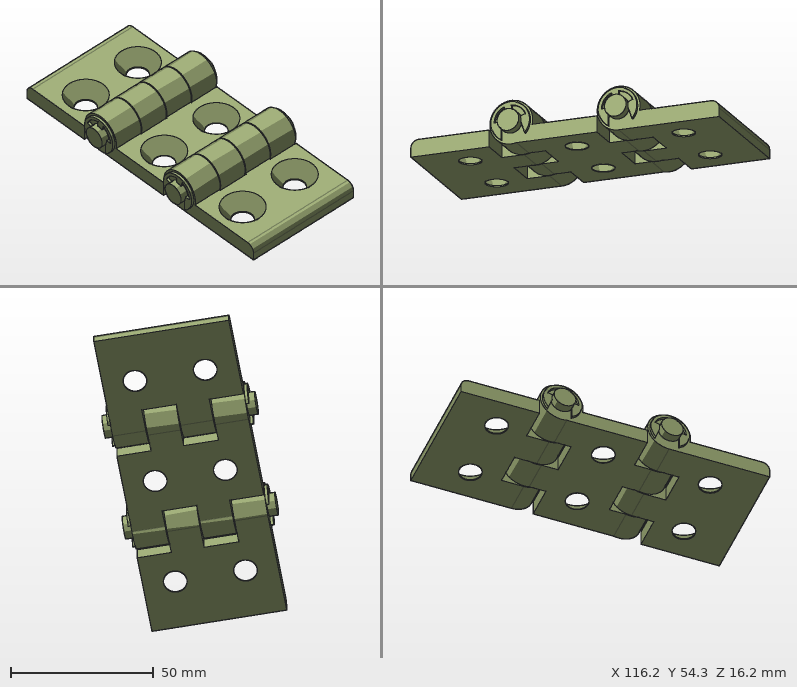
import cadquery as cq
import math


overall_length = 116.2
leaf_width = 48.0
leaf_thickness = 6.3
middle_leaf_lift = 0.2
end_round_radius = 3.0

hinge_spacing = 40.5
knuckle_diameter = 16.2
knuckle_count = 4
odd_knuckles = (1, 3)
even_knuckles = (0, 2)
knuckle_gap = 0.3
outer_notch_clearance = 0.29
middle_notch_clearance = 0.1

screw_hole_diameter = 8.3
countersink_diameter = 16.5
countersink_angle = 71.0
screw_hole_spacing = 25.0
screw_hole_offset = 40.2

pin_diameter = 8.1
pin_length = 54.3

clip_thickness = 1.0
clip_diameter = 14.5
clip_tilt = 9.5
window_radius = 6.0
window_half_angle = 79.0
bar_outer_width = 2.8
bar_inner_width = 2.3
mouth_inner_angle = 111.0
mouth_outer_angle = 141.5

pin_radius = pin_diameter / 2
knuckle_radius = knuckle_diameter / 2
clip_radius = clip_diameter / 2
hinge_x = hinge_spacing / 2
pin_z = knuckle_radius
knuckle_pitch = leaf_width / knuckle_count
outer_notch_reach = knuckle_radius + outer_notch_clearance
middle_notch_reach = knuckle_radius + middle_notch_clearance


def cylinder_along_y(radius, x, y_start, y_end):
    """Cylinder on the hinge axis at x, between two places along Y."""
    return cq.Workplane("XZ", origin=(x, y_end, pin_z)).circle(radius).extrude(y_end - y_start)


def plate(x_start, x_end, z_bottom):
    """Flat part of a leaf; every leaf has its top face at the same height."""
    return cq.Workplane("XY").box(
        x_end - x_start, leaf_width, leaf_thickness - z_bottom, centered=False
    ).translate((x_start, -leaf_width / 2, z_bottom))


def make_knuckle(x, index):
    """Knuckle counted from the -Y end; half a gap is left towards each neighbour."""
    y_start = -leaf_width / 2 + index * knuckle_pitch
    y_end = y_start + knuckle_pitch
    if index > 0:
        y_start += knuckle_gap / 2
    if index < knuckle_count - 1:
        y_end -= knuckle_gap / 2
    return cylinder_along_y(knuckle_radius, x, y_start, y_end)


def make_notch(x, index, reach):
    """Block that clears room in a leaf for a neighbour's knuckle and the gaps beside it."""
    y_middle = -leaf_width / 2 + (index + 0.5) * knuckle_pitch
    block = cq.Workplane("XY").box(2 * reach, knuckle_pitch + knuckle_gap, 2 * knuckle_radius)
    return block.translate((x, y_middle, pin_z))


def add_knuckles(leaf, x, own_indices, notch_reach):
    """Notch the leaf around its neighbour's knuckles, then add its own, and bore them."""
    for index in range(knuckle_count):
        if index not in own_indices:
            leaf = leaf.cut(make_notch(x, index, notch_reach))
    for index in own_indices:
        leaf = leaf.union(make_knuckle(x, index))
    return leaf.cut(cylinder_along_y(pin_radius, x, -leaf_width / 2, leaf_width / 2))


def drill_screw_holes(leaf, x):
    """Two countersunk holes through a leaf."""
    return (
        leaf.copyWorkplane(cq.Workplane("XY", origin=(x, 0, leaf_thickness)))
        .rarray(1.2, screw_hole_spacing, 1, 2)
        .cskHole(screw_hole_diameter, countersink_diameter, countersink_angle)
    )


def make_outer_leaf():
    """Leaf on the -X side, with its free top edge rounded."""
    leaf = plate(-overall_length / 2, -hinge_x, 0)
    leaf = leaf.edges("<X and >Z").fillet(end_round_radius)
    leaf = add_knuckles(leaf, -hinge_x, odd_knuckles, outer_notch_reach)
    return drill_screw_holes(leaf, -screw_hole_offset)


def make_middle_leaf():
    """Leaf between the two pins, unchanged by a half turn about Z."""
    leaf = plate(-hinge_x, hinge_x, middle_leaf_lift)
    leaf = add_knuckles(leaf, -hinge_x, even_knuckles, middle_notch_reach)
    leaf = add_knuckles(leaf, hinge_x, odd_knuckles, middle_notch_reach)
    return drill_screw_holes(leaf, 0)


def make_pin(x):
    """Plain pin through all the knuckles of one hinge axis."""
    return cylinder_along_y(pin_radius, x, -pin_length / 2, pin_length / 2)


def polar(radius, angle):
    """Point at an angle in degrees from the clip's axis."""
    return (radius * math.sin(math.radians(angle)), radius * math.cos(math.radians(angle)))


def make_window(side):
    """Opening between the clip's top bar and one of its arms; side is -1 or 1."""
    bar_outer_angle = math.degrees(math.asin(bar_outer_width / 2 / window_radius))
    bar_inner_angle = math.degrees(math.asin(bar_inner_width / 2 / pin_radius))
    outer_middle = (bar_outer_angle + window_half_angle) / 2
    inner_middle = (bar_inner_angle + window_half_angle) / 2
    return (
        cq.Workplane("XZ")
        .moveTo(*polar(pin_radius, side * bar_inner_angle))
        .lineTo(*polar(window_radius, side * bar_outer_angle))
        .threePointArc(
            polar(window_radius, side * outer_middle),
            polar(window_radius, side * window_half_angle),
        )
        .lineTo(*polar(pin_radius, side * window_half_angle))
        .threePointArc(
            polar(pin_radius, side * inner_middle),
            polar(pin_radius, side * bar_inner_angle),
        )
        .close()
        .extrude(-clip_thickness)
    )


def make_clip(x, y_front):
    """E-clip around the pin, its -Y face at y_front and its mouth pointing down."""
    clip = (
        cq.Workplane("XZ")
        .moveTo(*polar(pin_radius, -mouth_inner_angle))
        .lineTo(*polar(clip_radius, -mouth_outer_angle))
        .threePointArc(polar(clip_radius, 0), polar(clip_radius, mouth_outer_angle))
        .lineTo(*polar(pin_radius, mouth_inner_angle))
        .threePointArc(polar(pin_radius, 0), polar(pin_radius, -mouth_inner_angle))
        .close()
        .extrude(-clip_thickness)
    )
    for side in (-1, 1):
        clip = clip.cut(make_window(side))
    return clip.rotate((0, 0, 0), (0, 1, 0), clip_tilt).translate((x, y_front, pin_z))


left_leaf = make_outer_leaf()
right_leaf = left_leaf.rotate((0, 0, 0), (0, 0, 1), 180)
middle_leaf = make_middle_leaf()

pins = []
clips = []
for axis_x in (-hinge_x, hinge_x):
    pins.append(make_pin(axis_x))
    for clip_y in (-leaf_width / 2 - clip_thickness, leaf_width / 2):
        clips.append(make_clip(axis_x, clip_y))

result = cq.Compound.makeCompound(
    [body.val() for body in (left_leaf, middle_leaf, right_leaf, *pins, *clips)]
)